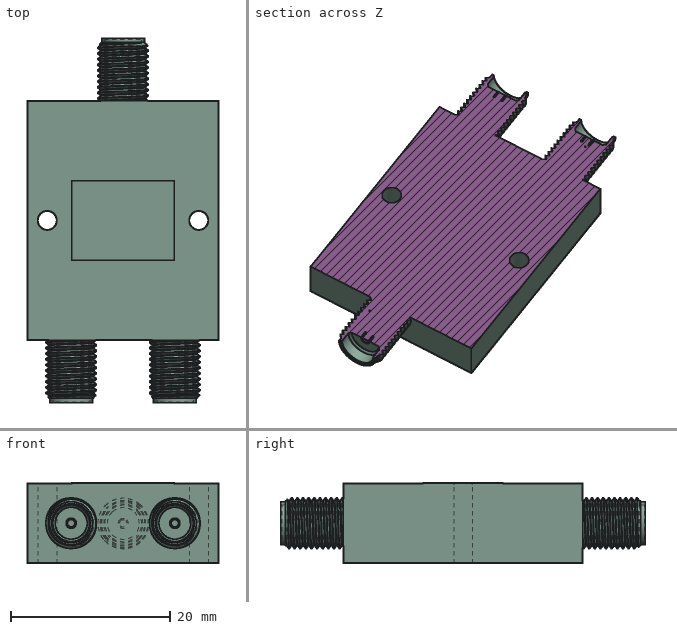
import cadquery as cq

BODY_X = 24.0
BODY_Y = 30.0
BODY_Z = 10.0
LABEL_X = 12.8
LABEL_Y = 10.0
LABEL_HEIGHT = 0.0762

MOUNT_HOLE_DIAMETER = 2.35
MOUNT_HOLE_SPACING = 19.0

CONNECTOR_LENGTH = 7.875
CONNECTOR_Z = BODY_Z / 2
OUTPUT_SPACING = 13.0
ROOT_EMBED = 0.5

THREAD_PITCH = 25.4 / 36
THREAD_MAJOR_RADIUS = 6.35 / 2
THREAD_ROOT_RADIUS = 2.8
THREAD_ROOT_OVERLAP = 0.05
THREAD_BASE_WIDTH = 0.68
THREAD_CREST_WIDTH = 0.06
FIRST_CREST_HEIGHT = 0.65
BURIED_TURNS = 2
THREAD_START = FIRST_CREST_HEIGHT - BURIED_TURNS * THREAD_PITCH

LEAD_RADIUS = 2.7
LEAD_LENGTH = 0.55

BORE_RADIUS = 2.3
BORE_FLOOR_RADIUS = 2.0
BORE_MOUTH_CHAMFER = 0.15
BORE_DEPTH = 1.9
BORE_TAPER_LENGTH = BORE_RADIUS - BORE_FLOOR_RADIUS
CONTACT_OUTER_RADIUS = 1.27 / 2
CONTACT_INNER_RADIUS = 0.94 / 2
CONTACT_GROOVE_DEPTH = 1.0


def make_housing():
    body = cq.Workplane("XY").box(BODY_X, BODY_Y, BODY_Z, centered=(True, True, False))
    label = (
        cq.Workplane("XY")
        .workplane(offset=BODY_Z)
        .rect(LABEL_X, LABEL_Y)
        .extrude(LABEL_HEIGHT)
    )
    holes = (
        cq.Workplane("XY")
        .rarray(MOUNT_HOLE_SPACING, 1, 2, 1)
        .circle(MOUNT_HOLE_DIAMETER / 2)
        .extrude(BODY_Z)
    )
    return body.union(label).cut(holes)


def make_thread_ridge():
    """Sweep a truncated V along a helix that runs past both ends of the thread."""
    helix_height = CONNECTOR_LENGTH - THREAD_START
    base_radius = THREAD_ROOT_RADIUS - THREAD_ROOT_OVERLAP
    helix = cq.Wire.makeHelix(THREAD_PITCH, helix_height, base_radius)
    ridge = (
        cq.Workplane("XZ")
        .polyline(
            [
                (base_radius, -THREAD_BASE_WIDTH / 2),
                (THREAD_MAJOR_RADIUS, -THREAD_CREST_WIDTH / 2),
                (THREAD_MAJOR_RADIUS, THREAD_CREST_WIDTH / 2),
                (base_radius, THREAD_BASE_WIDTH / 2),
            ]
        )
        .close()
        .sweep(cq.Workplane(obj=helix), isFrenet=True)
    )
    return ridge.translate((0, 0, THREAD_START))


def make_tip_envelope():
    """Solid of revolution that trims the thread to the lead-in and its chamfer."""
    outer_radius = THREAD_MAJOR_RADIUS + THREAD_PITCH
    lead_base = CONNECTOR_LENGTH - LEAD_LENGTH
    return (
        cq.Workplane("XZ")
        .polyline(
            [
                (0, -ROOT_EMBED),
                (outer_radius, -ROOT_EMBED),
                (outer_radius, lead_base - (outer_radius - LEAD_RADIUS)),
                (LEAD_RADIUS, lead_base),
                (LEAD_RADIUS, CONNECTOR_LENGTH),
                (0, CONNECTOR_LENGTH),
            ]
        )
        .close()
        .revolve(360, (0, 0), (0, 1))
    )


def make_socket_cutter():
    floor = CONNECTOR_LENGTH - BORE_DEPTH
    bore = (
        cq.Workplane("XZ")
        .polyline(
            [
                (0, floor),
                (BORE_FLOOR_RADIUS, floor),
                (BORE_RADIUS, floor + BORE_TAPER_LENGTH),
                (BORE_RADIUS, CONNECTOR_LENGTH - BORE_MOUTH_CHAMFER),
                (BORE_RADIUS + BORE_MOUTH_CHAMFER, CONNECTOR_LENGTH),
                (0, CONNECTOR_LENGTH),
            ]
        )
        .close()
        .revolve(360, (0, 0), (0, 1))
    )
    contact_groove = (
        cq.Workplane("XY")
        .workplane(offset=floor - CONTACT_GROOVE_DEPTH)
        .circle(CONTACT_OUTER_RADIUS)
        .circle(CONTACT_INNER_RADIUS)
        .extrude(CONTACT_GROOVE_DEPTH)
    )
    return bore.union(contact_groove)


def make_connector():
    """Connector along +Z with its mounting plane at Z = 0."""
    core = (
        cq.Workplane("XY")
        .workplane(offset=-ROOT_EMBED)
        .circle(THREAD_ROOT_RADIUS)
        .extrude(CONNECTOR_LENGTH + ROOT_EMBED)
    )
    threaded = core.union(make_thread_ridge()).intersect(make_tip_envelope())
    return threaded.cut(make_socket_cutter())


def place_connector(connector, x, side):
    """Point a +Z connector along side * Y, seated on that housing face."""
    turned = connector.rotate((0, 0, 0), (1, 0, 0), -90 * side)
    return turned.translate((x, side * BODY_Y / 2, CONNECTOR_Z))


connector = make_connector()
result = make_housing().union(place_connector(connector, 0, 1))
for output_x in (-OUTPUT_SPACING / 2, OUTPUT_SPACING / 2):
    result = result.union(place_connector(connector, output_x, -1))